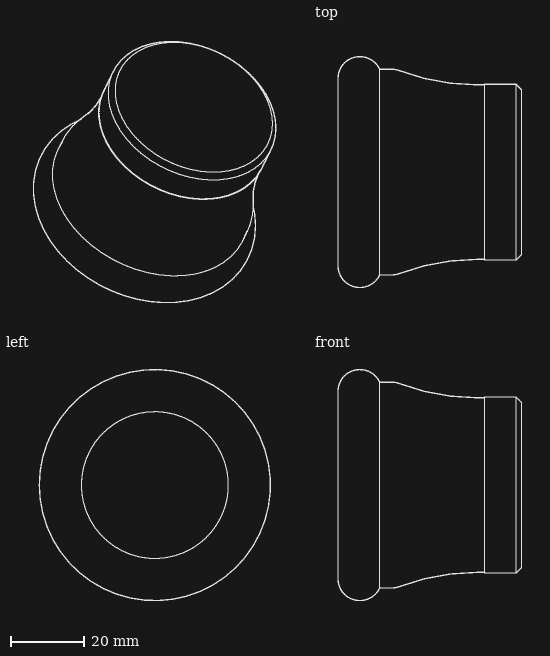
import cadquery as cq
import math


ring_outer_diameter = 63.0
tube_radius = 6.0
ring_radius = ring_outer_diameter / 2 - tube_radius
tube_center_x = tube_radius

shoulder_end_x = 14.8
neck_start_x = 37.9
collar_start_x = 39.95
knob_end_x = 50.0

face_radius = 40.0 / 2
shoulder_radius = 56.1 / 2
neck_radius = 47.6 / 2
collar_radius = 48.0 / 2
end_chamfer = 1.5

face_x = tube_center_x - math.sqrt(tube_radius**2 - (ring_radius - face_radius) ** 2)

crest_arc_radius = 5.0
waist_length = neck_start_x - shoulder_end_x
waist_drop = shoulder_radius - neck_radius
waist_angle = 2 * math.atan(waist_drop / waist_length)
hollow_arc_radius = waist_length / math.sin(waist_angle) - crest_arc_radius


def make_ring():
    return (
        cq.Workplane("XY")
        .center(tube_center_x, ring_radius)
        .circle(tube_radius)
        .revolve(360, (-tube_center_x, -ring_radius), (0.6 - tube_center_x, -ring_radius))
    )


def crest_point(angle):
    """Point on the convex arc that leaves the shoulder."""
    return (
        shoulder_end_x + crest_arc_radius * math.sin(angle),
        shoulder_radius - crest_arc_radius * (1 - math.cos(angle)),
    )


def hollow_point(angle):
    """Point on the concave arc that runs into the neck."""
    return (
        neck_start_x - hollow_arc_radius * math.sin(angle),
        neck_radius + hollow_arc_radius * (1 - math.cos(angle)),
    )


def groove_point(angle):
    """Point on the tube section, with the angle measured from +X."""
    return (
        tube_center_x + tube_radius * math.cos(angle),
        ring_radius + tube_radius * math.sin(angle),
    )


def make_knob():
    seat_start_angle = math.atan2(face_radius - ring_radius, face_x - tube_center_x)
    seat_end_angle = math.asin((shoulder_radius - ring_radius) / tube_radius)
    seat_middle_angle = (seat_start_angle + seat_end_angle) / 2
    return (
        cq.Workplane("XY")
        .moveTo(face_x, 0)
        .lineTo(face_x, face_radius)
        .threePointArc(groove_point(seat_middle_angle), groove_point(seat_end_angle))
        .lineTo(shoulder_end_x, shoulder_radius)
        .threePointArc(crest_point(waist_angle / 2), crest_point(waist_angle))
        .threePointArc(hollow_point(waist_angle / 2), (neck_start_x, neck_radius))
        .lineTo(collar_start_x, neck_radius)
        .lineTo(collar_start_x, collar_radius)
        .lineTo(knob_end_x - end_chamfer, collar_radius)
        .lineTo(knob_end_x, collar_radius - end_chamfer)
        .lineTo(knob_end_x, 0)
        .close()
        .revolve(360, (0, 0), (1, 0))
    )


ring = make_ring()
knob = make_knob()

result = cq.Compound.makeCompound([ring.val(), knob.val()])